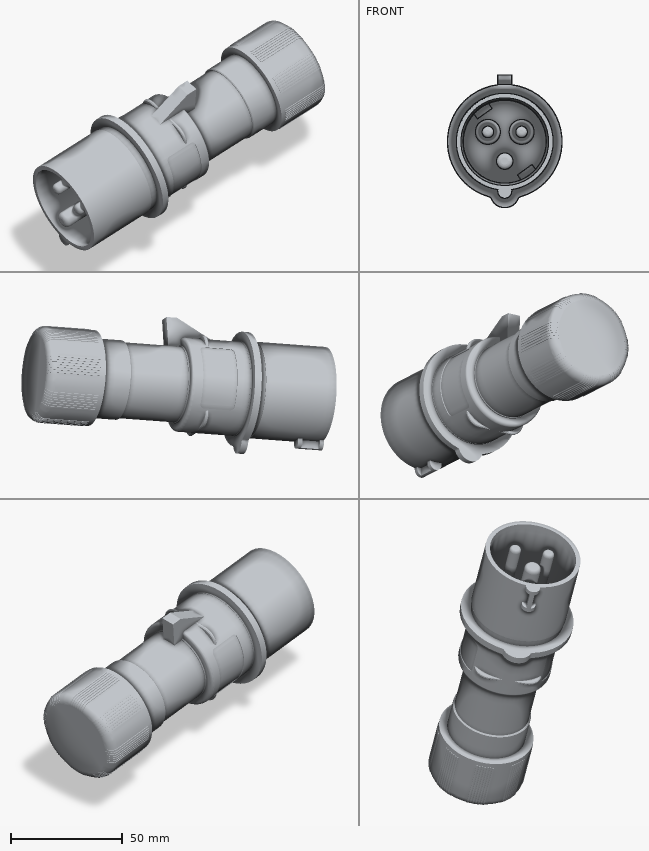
import cadquery as cq
import math


FLANGE_FRONT = 36.5
FLANGE_REAR = 39.6
SHROUD_REAR = 33.1
BODY_FRONT = 40.3
BODY_REAR = 67.5
NECK_FRONT = 68.2
COLLAR_FRONT = 95.0
CAP_FRONT = 108.4
CAP_REAR = 135.2

SHROUD_R = 21.7
STEP_R = 21.2
BODY_R = 21.1
FLANGE_R = 51.3 / 2
NECK_SEAT_R = 17.5
NECK_R = 17.0
COLLAR_R = 17.8
CAP_R = 21.5
BODY_EDGE_FILLET = 1.4
COLLAR_CHAMFER = 0.4

TONGUE_R = 6.5
TONGUE_BOTTOM = -29.5
TONGUE_BLEND = 1.4

BORE_DEPTH = 32.7
BORE_MOUTH_R = 19.6
BORE_FLOOR_R = 18.5
LEDGE_WIDTH = 8.0
LEDGE_DISTANCE = 15.4
LEDGE_HEIGHT = 0.7
LEDGE_ANGLE = 125.5

PIN_CIRCLE_R = 8.7
EARTH_PIN_ANGLE = -90
EARTH_PIN_R = 3.7
EARTH_PIN_TIP = -1.0
EARTH_PIN_ROUND = 2.0
LINE_PIN_R = 2.6
LINE_PIN_TIP = 1.1
LINE_PIN_ROUND = 1.8
LINE_PIN_ANGLES = (30, 150)
PIN_COLLAR_R = 5.6
PIN_COLLAR_HEIGHT = 2.0
PIN_COLLAR_ROUND = 1.5

KEY_LENGTH = 12.1
KEY_R = 3.1
KEY_BOTTOM = -25.3
KEY_WEB = 2.0
KEY_RECESS_START = 1.9
KEY_RECESS_END = 10.1

LEVER_WIDTH = 6.4
LEVER_TOP = 29.8
LEVER_TOP_FRONT = 69.0
LEVER_TOP_REAR = 74.1
LEVER_HEEL = 73.1
LEVER_TOE = 53.1
LEVER_SINK = 1.4

WINDOW_START = 46.5
WINDOW_END = 62.5
WINDOW_HEIGHT = 28.0
WINDOW_CORNER_R = 1.8
WINDOW_DEPTH = 0.4

BAND_START = 57.9
BAND_THICKNESS = 1.5
BAND_WIDTH = 30.4
BAND_HEIGHT = 42.0
BAND_CORNER_R = 6.8
BAND_CHAMFER = 0.4

CAP_ROUND = 3.8
RIB_START = 110.7
RIB_HEIGHT = 0.3
RIB_WIDTH = 0.7
RIB_PITCH = 1.2
RIBS_PER_GROUP = 7
RIB_GROUPS = 8


def cylinder(radius, start, end, x=0, z=0):
    """Solid round bar parallel to Y between two stations."""
    return cq.Workplane("XZ", origin=(x, start, z)).circle(radius).extrude(start - end)


def box(x_size, z_size, start, end):
    """Block centred on the plug axis between two stations."""
    return cq.Workplane("XZ", origin=(0, start, 0)).rect(x_size, z_size).extrude(start - end)


def on_pin_circle(angle):
    """X and Z of a point on the pin pitch circle, angle measured from +X."""
    turn = math.radians(angle)
    return PIN_CIRCLE_R * math.cos(turn), PIN_CIRCLE_R * math.sin(turn)


def make_housing():
    body = cylinder(BODY_R, BODY_FRONT, BODY_REAR).faces(">Y").edges().fillet(BODY_EDGE_FILLET)
    collar = cylinder(COLLAR_R, COLLAR_FRONT, CAP_FRONT).faces("<Y").edges().chamfer(COLLAR_CHAMFER)
    return (
        cylinder(SHROUD_R, 0, SHROUD_REAR)
        .union(cylinder(STEP_R, SHROUD_REAR, BODY_FRONT))
        .union(body)
        .union(cylinder(NECK_SEAT_R, BODY_REAR, NECK_FRONT))
        .union(cylinder(NECK_R, NECK_FRONT, COLLAR_FRONT))
        .union(collar)
    )


def make_flange():
    disc = cylinder(FLANGE_R, FLANGE_FRONT, FLANGE_REAR)
    tongue = cylinder(TONGUE_R, FLANGE_FRONT, FLANGE_REAR, z=TONGUE_BOTTOM + TONGUE_R)
    flange = disc.union(tongue)
    corners = cq.selectors.BoxSelector(
        (-FLANGE_R / 2, FLANGE_FRONT, -FLANGE_R), (FLANGE_R / 2, FLANGE_REAR, TONGUE_BOTTOM + TONGUE_R)
    )
    return flange.edges("|Y").edges(corners).fillet(TONGUE_BLEND)


def make_cap():
    def rounded_barrel(radius, start):
        return cylinder(radius, start, CAP_REAR).faces(">Y").edges().fillet(CAP_ROUND)

    slats = cq.Workplane("XY")
    rib_length = CAP_REAR - RIB_START
    for group in range(RIB_GROUPS):
        for rib in range(RIBS_PER_GROUP):
            offset = (rib - (RIBS_PER_GROUP - 1) / 2) * RIB_PITCH
            slat = cq.Workplane("XY").box(
                RIB_WIDTH, rib_length, CAP_R, centered=(True, False, False)
            ).translate((offset, RIB_START, CAP_R / 2))
            slats = slats.add(slat.rotate((0, 0, 0), (0, 1, 0), group * 360 / RIB_GROUPS))
    ribs = rounded_barrel(CAP_R + RIB_HEIGHT, RIB_START).intersect(slats.combine())
    return rounded_barrel(CAP_R, CAP_FRONT).union(ribs)


def make_bore():
    bore = (
        cq.Workplane("XY")
        .polyline([(0, 0), (BORE_MOUTH_R, 0), (BORE_FLOOR_R, BORE_DEPTH), (0, BORE_DEPTH)])
        .close()
        .revolve(360, (0, 0, 0), (0, 1, 0))
    )
    ledge_depth = BORE_MOUTH_R - LEDGE_DISTANCE
    for angle in (LEDGE_ANGLE, LEDGE_ANGLE + 180):
        ledge = (
            box(ledge_depth, LEDGE_WIDTH, BORE_DEPTH - LEDGE_HEIGHT, BORE_DEPTH)
            .translate((LEDGE_DISTANCE + ledge_depth / 2, 0, 0))
            .rotate((0, 0, 0), (0, 1, 0), -angle)
        )
        bore = bore.cut(ledge)
    return bore


def make_pin(angle, radius, tip, tip_round):
    x, z = on_pin_circle(angle)
    return cylinder(radius, tip, BORE_DEPTH, x, z).faces("<Y").edges().fillet(tip_round)


def make_pin_collar(angle):
    x, z = on_pin_circle(angle)
    collar = cylinder(PIN_COLLAR_R, BORE_DEPTH - PIN_COLLAR_HEIGHT, BORE_DEPTH, x, z)
    return collar.faces("<Y").edges().fillet(PIN_COLLAR_ROUND)


def make_key():
    centre_z = KEY_BOTTOM + KEY_R
    root_z = -(BORE_MOUTH_R + SHROUD_R) / 2
    root_height = root_z - centre_z
    root = box(2 * KEY_R, root_height, 0, KEY_LENGTH).translate((0, 0, centre_z + root_height / 2))
    key = cylinder(KEY_R, 0, KEY_LENGTH, z=centre_z).union(root)
    side_depth = KEY_R - KEY_WEB / 2
    for side in (-1, 1):
        recess = box(side_depth, 4 * KEY_R, KEY_RECESS_START, KEY_RECESS_END)
        key = key.cut(recess.translate((side * (KEY_WEB + side_depth) / 2, 0, centre_z)))
    return key


def make_lever():
    sunk_z = NECK_R - LEVER_SINK
    toe_z = math.sqrt(BODY_R**2 - (LEVER_WIDTH / 2) ** 2)
    outline = [
        (LEVER_TOE, sunk_z),
        (LEVER_TOE, toe_z),
        (LEVER_TOP_FRONT, LEVER_TOP),
        (LEVER_TOP_REAR, LEVER_TOP),
        (LEVER_HEEL, sunk_z),
    ]
    return cq.Workplane("YZ").polyline(outline).close().extrude(LEVER_WIDTH / 2, both=True)


def make_windows():
    length = WINDOW_END - WINDOW_START
    middle = (WINDOW_START + WINDOW_END) / 2
    panels = (
        cq.Workplane("YZ", origin=(0, middle, 0))
        .rect(length, WINDOW_HEIGHT)
        .extrude(2 * BODY_R, both=True)
        .edges("|X")
        .fillet(WINDOW_CORNER_R)
    )
    return panels.cut(cylinder(BODY_R - WINDOW_DEPTH, WINDOW_START, WINDOW_END))


def make_band():
    band = box(BAND_WIDTH, BAND_HEIGHT, BAND_START, BAND_START + BAND_THICKNESS)
    band = band.edges("|Y").fillet(BAND_CORNER_R)
    return band.faces("<Y or >Y").edges().chamfer(BAND_CHAMFER)


result = (
    make_housing()
    .cut(make_windows())
    .union(make_band())
    .union(make_flange())
    .union(make_cap())
    .union(make_lever())
    .union(make_key())
    .cut(make_bore())
    .union(make_pin(EARTH_PIN_ANGLE, EARTH_PIN_R, EARTH_PIN_TIP, EARTH_PIN_ROUND))
)
for pin_angle in LINE_PIN_ANGLES:
    result = result.union(make_pin_collar(pin_angle))
    result = result.union(make_pin(pin_angle, LINE_PIN_R, LINE_PIN_TIP, LINE_PIN_ROUND))